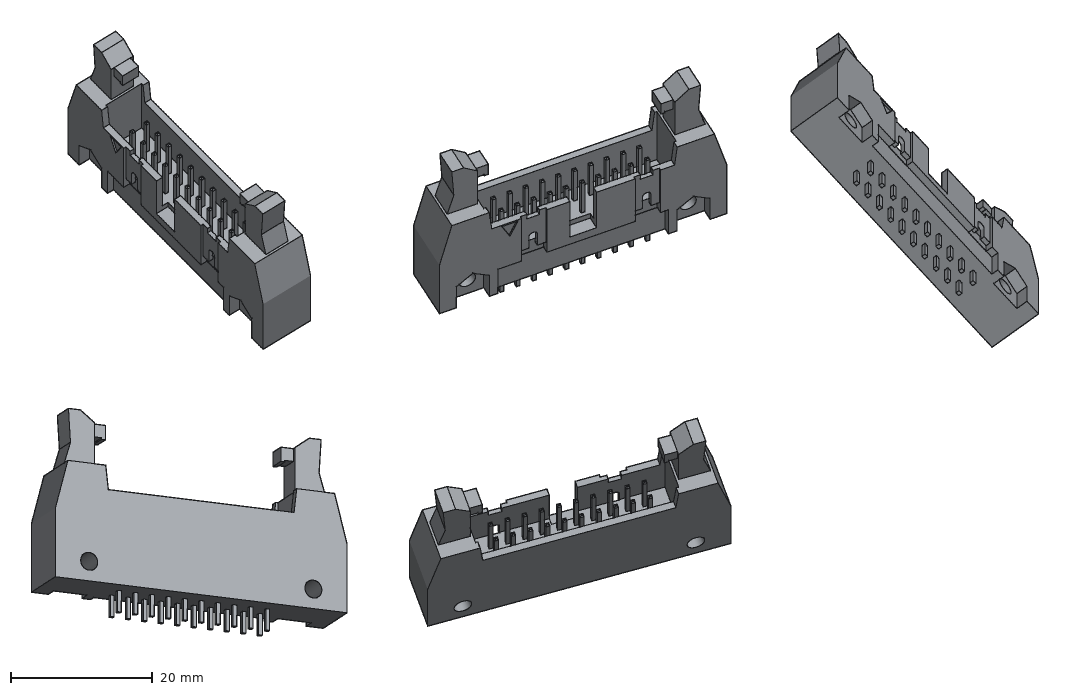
import cadquery as cq


length = 45.0
width = 8.5
half_length = length / 2
front = -width / 2
wall_height = 13.8
ear_height = 17.35
ear_slope_z = 10.1
ear_outer_x = 20.55
ear_inner_x = 14.7
ear_foot_x = 14.3

cavity_length = 30.15
wall_thickness = 1.1
cavity_width = width - 2 * wall_thickness
floor_z = 7.42

columns = 10
rows = 2
row_length = 22.85
pitch = row_length / (columns - 1)
pin_size = 0.6
pin_bottom_z = -3.15
pin_top_z = 13.72
pin_tip_bevel = 0.2

latch_top_z = 25.8
latch_width = 3.95
latch_inner_x = 15.45
latch_shoulder_z = 24.1
latch_top_outer_x = 19.5
latch_top_inner_x = 17.65
latch_waist_x = 19.15
latch_waist_z = 20.85
latch_base_x = 20.2
hook_tip_x = 13.5
hook_width = 2.9
hook_under_z = 22.25
hook_lip_x = 14.15
hook_lip_z = 22.0

mount_x = 17.3
mount_z = 2.9
mount_diameter = 2.6
mount_recess_width = 5.18
mount_recess_depth = 1.85
mount_shoulder_z = 4.35
mount_apex_z = 6.0

foot_length = 26.7
foot_height = 5.0
foot_depth = 1.1

key_width = 4.2
key_bottom_z = 6.5
key_depth = 2.05

left_window_x = -7.65
window_gap_pitches = 7
window_xs = (left_window_x, left_window_x + window_gap_pitches * pitch)
window_width = 3.95
window_depth = 0.4
window_foot_z = 6.65
window_foot_depth = 1.12
slot_width = 1.35
slot_top_z = 9.65
notch_width = 2.0
notch_bottom_z = 12.85

mark_x = -11.48
mark_width = 2.5
mark_top_z = 13.55
mark_tip_z = 11.0
mark_depth = 0.25


def block(x_min, x_max, y_min, y_max, z_min, z_max):
    """Box given by its limits along each axis."""
    size = (x_max - x_min, y_max - y_min, z_max - z_min)
    return cq.Workplane("XY").box(*size, centered=False).translate((x_min, y_min, z_min))


def front_cut(x, cut_width, depth, z_min, z_max):
    """Box centred on x that reaches inward from the front face."""
    return block(x - cut_width / 2, x + cut_width / 2, front, front + depth, z_min, z_max)


def front_prism(points, depth):
    """Prism with an XZ outline that reaches inward from the front face."""
    return cq.Workplane("XZ", origin=(0, front, 0)).polyline(points).close().extrude(-depth)


def centred_prism(points, prism_width):
    """Prism with an XZ outline, centred across the housing."""
    return cq.Workplane("XZ").polyline(points).close().extrude(prism_width / 2, both=True)


def mirrored_pair(solid):
    """The given solid together with its mirror image at the other end."""
    return solid.union(solid.mirror("YZ"))


def make_housing():
    right_side = [
        (half_length, 0),
        (half_length, ear_slope_z),
        (ear_outer_x, ear_height),
        (ear_inner_x, ear_height),
        (ear_foot_x, wall_height),
    ]
    left_side = [(-x, z) for x, z in reversed(right_side)]
    outline = centred_prism(right_side + left_side, width)
    cavity = block(
        -cavity_length / 2, cavity_length / 2, -cavity_width / 2, cavity_width / 2, floor_z, ear_height
    )
    return outline.cut(cavity)


def make_latches():
    arm = centred_prism(
        [
            (-latch_base_x, ear_height),
            (-latch_waist_x, latch_waist_z),
            (-latch_top_outer_x, latch_top_z),
            (-latch_top_inner_x, latch_top_z),
            (-latch_inner_x, latch_shoulder_z),
            (-latch_inner_x, ear_height),
        ],
        latch_width,
    )
    hook = centred_prism(
        [
            (-latch_inner_x, latch_shoulder_z),
            (-hook_tip_x, latch_shoulder_z),
            (-hook_tip_x, hook_lip_z),
            (-hook_lip_x, hook_lip_z),
            (-hook_lip_x, hook_under_z),
            (-latch_inner_x, hook_under_z),
        ],
        hook_width,
    )
    return mirrored_pair(arm.union(hook))


def make_mount_cuts():
    left = -mount_x - mount_recess_width / 2
    right = -mount_x + mount_recess_width / 2
    recess = front_prism(
        [
            (left, 0),
            (right, 0),
            (right, mount_shoulder_z),
            (-mount_x, mount_apex_z),
            (left, mount_shoulder_z),
        ],
        mount_recess_depth,
    )
    hole = (
        cq.Workplane("XZ", origin=(-mount_x, front, mount_z))
        .circle(mount_diameter / 2)
        .extrude(-width)
    )
    return mirrored_pair(recess.union(hole))


def make_window_cut(x):
    """One window: thinned wall, deeper foot, notch in the rim and an arched slot."""
    thinned = front_cut(x, window_width, window_depth, foot_height, wall_height)
    foot = front_cut(x, window_width, window_foot_depth, foot_height, window_foot_z)
    notch = front_cut(x, notch_width, wall_thickness, notch_bottom_z, wall_height)
    arch_z = slot_top_z - slot_width / 2
    slot = front_cut(x, slot_width, window_foot_depth, window_foot_z, arch_z)
    arch = (
        cq.Workplane("XZ", origin=(x, front, arch_z))
        .circle(slot_width / 2)
        .extrude(-window_foot_depth)
    )
    return thinned.union(foot).union(notch).union(slot).union(arch)


def make_mark_cut():
    half = mark_width / 2
    return front_prism(
        [(mark_x - half, mark_top_z), (mark_x + half, mark_top_z), (mark_x, mark_tip_z)], mark_depth
    )


def make_pins():
    pin_length = pin_top_z - pin_bottom_z
    return (
        cq.Workplane("XY", origin=(0, 0, pin_bottom_z))
        .rarray(pitch, pitch, columns, rows)
        .rect(pin_size, pin_size)
        .extrude(pin_length)
        .faces(">Z")
        .chamfer(pin_tip_bevel)
    )


housing = make_housing()
housing = housing.cut(make_mount_cuts())
housing = housing.cut(front_cut(0, foot_length, foot_depth, 0, foot_height))
housing = housing.cut(front_cut(0, key_width, key_depth, key_bottom_z, wall_height))
for x in window_xs:
    housing = housing.cut(make_window_cut(x))
housing = housing.cut(make_mark_cut())

result = housing.union(make_latches()).union(make_pins())